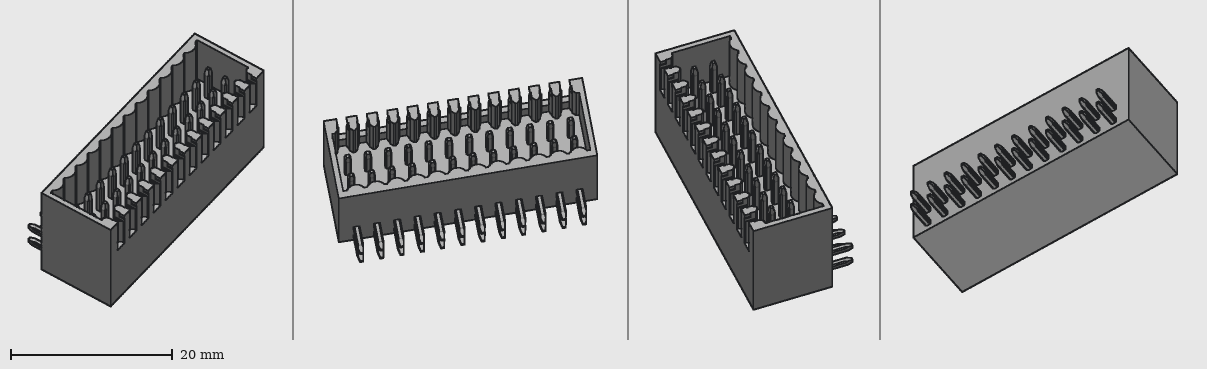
import cadquery as cq
import math


length = 32.45
depth = 10.5
height = 14.2
end_wall = 0.7
front_wall = 0.88
cavity_depth = 7.2
floor_z = height - cavity_depth

positions = 12
end_margin = 2.25
pitch = (length - 2 * end_margin) / (positions - 1)
contact_xs = (3.65, 3.65 + pitch)
solder_zs = (1.25, 1.25 + pitch)
position_ys = [(i - (positions - 1) / 2) * pitch for i in range(positions)]

pin_width = 0.8
pin_edge_chamfer = 0.15
pin_tip_length = 1.0
pin_tip_width = 0.4
overall_width = 14.0
solder_length = overall_width - depth
contact_top_z = 12.13
pin_embed = 0.32

scallop_height = 0.6
scallop_half_width = 1.1

teeth_x = 8.63
slot_half_width = 0.75
tooth_chamfer = 0.4
sill_x = 9.73
sill_z = height - 5.1

rib_start_x = 9.15
rib_end_x = 2 * sill_x - rib_start_x
rib_height = 0.3
rib_top_z = height - 1.25
lip_height = 0.115
lip_drop = 0.62


def block(x0, x1, y0, y1, z0, z1):
    """Axis-aligned box between opposite corners."""
    return cq.Workplane("XY").box(x1 - x0, y1 - y0, z1 - z0, centered=False).translate((x0, y0, z0))


def prism(points, z0, z1):
    """Polygon in the XY plane extruded from z0 to z1."""
    return cq.Workplane("XY", origin=(0, 0, z0)).polyline(points).close().extrude(z1 - z0)


def pin(total_length):
    """Pin along +Z from the origin, its tip cut by four sloping planes."""
    bar = cq.Workplane("XY").rect(pin_width, pin_width).extrude(total_length)
    bar = bar.edges("|Z").chamfer(pin_edge_chamfer)
    taper = math.degrees(math.atan((pin_width - pin_tip_width) / 2 / pin_tip_length))
    shank_length = total_length - pin_tip_length
    envelope = cq.Workplane("XY").rect(pin_width, pin_width).extrude(shank_length)
    tip = (
        cq.Workplane("XY", origin=(0, 0, shank_length))
        .rect(pin_width, pin_width)
        .extrude(pin_tip_length, taper=taper)
    )
    return bar.intersect(envelope.union(tip))


def scallop(y):
    """Round-faced bulge running the full height of the cavity."""
    return (
        cq.Workplane("XY", origin=(0, 0, floor_z))
        .moveTo(front_wall, y - scallop_half_width)
        .threePointArc((front_wall + scallop_height, y), (front_wall, y + scallop_half_width))
        .close()
        .extrude(cavity_depth)
    )


def slot(y):
    """Opening through the rear wall: flared mouth inside, raised sill outside."""
    mouth = slot_half_width + tooth_chamfer
    inner = prism(
        [
            (teeth_x, y - mouth),
            (teeth_x + tooth_chamfer, y - slot_half_width),
            (sill_x, y - slot_half_width),
            (sill_x, y + slot_half_width),
            (teeth_x + tooth_chamfer, y + slot_half_width),
            (teeth_x, y + mouth),
        ],
        floor_z,
        height,
    )
    outer = block(sill_x, depth, y - slot_half_width, y + slot_half_width, sill_z, height)
    return inner.union(outer)


def flank_details(y, side):
    """Wedge rib and top lip on the slot flank lying on the given side (+1 or -1) of y."""
    flank = y + side * slot_half_width
    rib = prism(
        [(rib_start_x, flank), (sill_x, flank - side * rib_height), (rib_end_x, flank)],
        floor_z,
        rib_top_z,
    )
    lip_edge = flank - side * lip_height
    lip = block(sill_x, depth, min(flank, lip_edge), max(flank, lip_edge), height - lip_drop, height)
    return rib, lip


def fused(parts, start):
    """Start solid with every part joined to it in one operation."""
    return cq.Workplane(start.val().fuse(*[part.val() for part in parts]))


shell = block(0, depth, -length / 2, length / 2, 0, height)
cavity_half_length = length / 2 - end_wall
cavity = block(front_wall, teeth_x, -cavity_half_length, cavity_half_length, floor_z, height)
shell = shell.cut(fused([slot(y) for y in position_ys], cavity))

details = []
for y in position_ys:
    details.append(scallop(y))
    for side in (-1, 1):
        details.extend(flank_details(y, side))

contact_pin = pin(contact_top_z - floor_z + pin_embed)
solder_pin = pin(solder_length + pin_embed).rotate((0, 0, 0), (0, 1, 0), -90)
pins = []
for y in position_ys:
    for x in contact_xs:
        pins.append(contact_pin.translate((x, y, floor_z - pin_embed)))
    for z in solder_zs:
        pins.append(solder_pin.translate((pin_embed, y, z)))

result = fused(details + pins, shell).clean().solids()